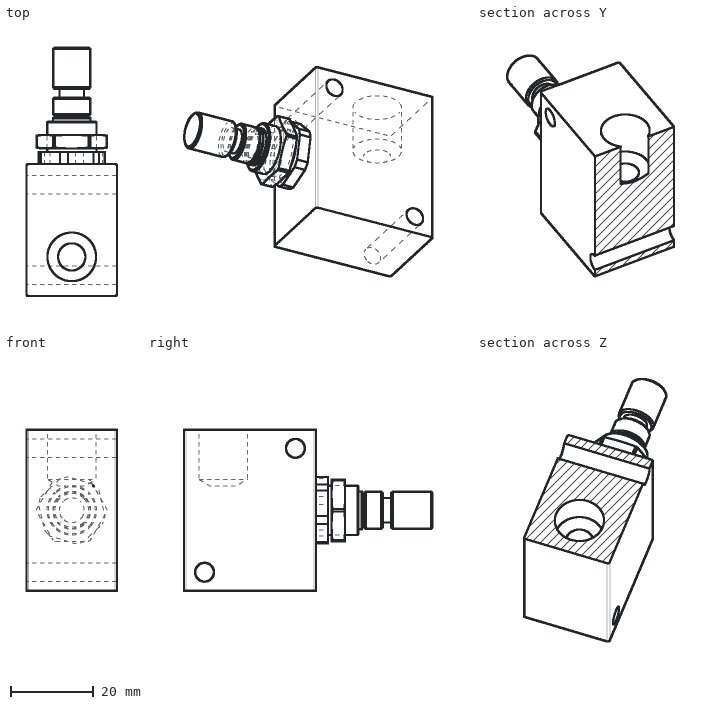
import cadquery as cq
import math


housing_width = 22.0
housing_depth = 32.0
housing_height = 39.0
edge_radius = 0.5
mount_hole_diameter = 4.5
mount_hole_from_face = 5.0
mount_hole_from_end = 4.5
port_radius = 5.9
port_from_front = 9.5
port_bore_depth = 12.0
port_floor_radius = 3.3
port_tip_angle = 118.0

hex_across_flats = 15.0

cartridge_hex_round_radius = 8.15
cartridge_hex_turn = 13.2
cartridge_hex_end = 2.9
thread_radius = 6.0
thread_end = 10.3
thread_chamfer = 0.3
collar_radius = 4.6
collar_end = 11.2
collar_chamfer = 0.2

nut_start = 3.75
nut_thickness = 3.3
nut_round_radius = 8.5
nut_turn = 30.0
nut_chamfer_radius = 7.4
nut_chamfer_height = 0.2

stem_radius = 3.0
knob_radius = 4.5
rim_chamfer = 0.4
knob_base_chamfer_height = 0.5
ring_start = 11.7
ring_end = 16.15
knob_start = 18.1
overall_length = 60.21
knob_end = overall_length - housing_depth


def cylinder(radius, start, end):
    """Cylinder on the valve axis between two Y positions."""
    return cq.Workplane("XZ", origin=(0, start, 0)).circle(radius).extrude(start - end)


def hexagon(turn, start, end):
    """Hexagonal prism on the valve axis, with one flat facing the turn angle from +X."""
    across_corners = hex_across_flats / math.cos(math.radians(30))
    prism = cq.Workplane("XZ", origin=(0, start, 0)).polygon(6, across_corners).extrude(start - end)
    return prism.rotate((0, 0, 0), (0, -1, 0), turn - 30)


def make_housing():
    """Rounded block with two cross holes and one drilled port in the top."""
    center_y = -housing_depth / 2
    block = cq.Workplane("XY").box(housing_width, housing_depth, housing_height)
    block = block.translate((0, center_y, 0)).edges("|Z").fillet(edge_radius)

    hole_y = housing_depth / 2 - mount_hole_from_face
    hole_z = housing_height / 2 - mount_hole_from_end
    mount_holes = (
        cq.Workplane("YZ", origin=(0, center_y, 0))
        .pushPoints([(hole_y, hole_z), (-hole_y, -hole_z)])
        .circle(mount_hole_diameter / 2)
        .extrude(housing_width, both=True)
    )
    return block.cut(mount_holes).cut(make_port())


def make_port():
    """Port bore that narrows in a cone to a flat floor."""
    top = housing_height / 2
    cone_top = top - port_bore_depth
    cone_height = (port_radius - port_floor_radius) / math.tan(math.radians(port_tip_angle / 2))
    floor = cone_top - cone_height
    outline = [
        (0, top),
        (port_radius, top),
        (port_radius, cone_top),
        (port_floor_radius, floor),
        (0, floor),
    ]
    port_plane = cq.Workplane("XZ", origin=(0, port_from_front - housing_depth, 0))
    return port_plane.polyline(outline).close().revolve(360, (0, 0), (0, 1))


def make_cartridge():
    """Hexagon with turned corners, threaded sleeve and end collar."""
    base = hexagon(cartridge_hex_turn, 0, cartridge_hex_end)
    base = base.intersect(cylinder(cartridge_hex_round_radius, 0, cartridge_hex_end))
    sleeve = cylinder(thread_radius, 0, thread_end).faces(">Y").chamfer(thread_chamfer)
    collar = cylinder(collar_radius, 0, collar_end).faces(">Y").chamfer(collar_chamfer)
    return base.union(sleeve).union(collar)


def make_panel_nut():
    """Hexagon nut on the sleeve, with turned corners and shallow chamfers."""
    nut_end = nut_start + nut_thickness
    chamfer_width = nut_round_radius - nut_chamfer_radius
    blank = cylinder(nut_round_radius, nut_start, nut_end)
    blank = blank.faces("<Y or >Y").chamfer(nut_chamfer_height, chamfer_width)
    nut = hexagon(nut_turn, nut_start, nut_end).intersect(blank)
    return nut.cut(cylinder(thread_radius, nut_start, nut_end))


def make_adjusting_screw():
    """Stem standing on the collar, with a locking ring and a knob."""
    stem = cylinder(stem_radius, collar_end, knob_end)
    ring = cylinder(knob_radius, ring_start, ring_end).faces("<Y or >Y").chamfer(rim_chamfer)
    knob = cylinder(knob_radius, knob_start, knob_end).faces(">Y").chamfer(rim_chamfer)
    knob = knob.faces("<Y").chamfer(knob_base_chamfer_height, rim_chamfer)
    return stem.union(ring).union(knob)


housing = make_housing()
cartridge = make_cartridge()
panel_nut = make_panel_nut()
adjusting_screw = make_adjusting_screw()

bodies = [housing, cartridge, panel_nut, adjusting_screw]
result = cq.Compound.makeCompound([body.solids().val() for body in bodies])